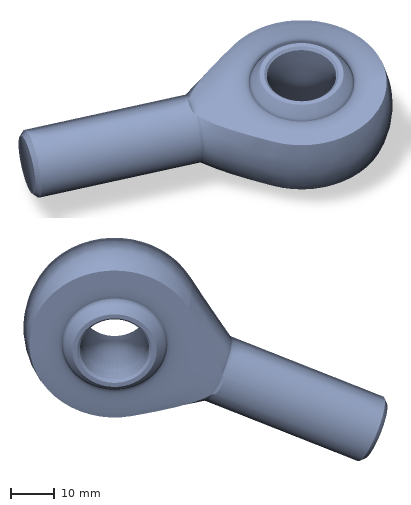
import cadquery as cq
import math


head_radius = 21.0
head_width = 15.0
shank_radius = 8.0
shank_start = 26.0
shank_end = 66.0
shank_chamfer = 1.1
flat_runout_radius = 1.0
race_radius = 16.85
ball_diameter = 28.575
ball_width = 21.0
bore_radius = 8.0
bore_chamfer = 0.6

half_head = head_width / 2
half_ball = ball_width / 2
ball_radius = ball_diameter / 2
ball_face_radius = math.sqrt(ball_radius**2 - half_ball**2)

rim_distance = math.hypot(shank_radius, shank_start)
tangent_angle = math.atan2(shank_radius, shank_start) + math.acos(head_radius / rim_distance)
tangent_x = head_radius * math.sin(tangent_angle)
tangent_y = -head_radius * math.cos(tangent_angle)


def make_blank():
    """Sphere, tangent neck and chamfered shank, turned about the Y axis."""
    return (
        cq.Workplane("XY")
        .moveTo(0, head_radius)
        .threePointArc((head_radius, 0), (tangent_x, tangent_y))
        .lineTo(shank_radius, -shank_start)
        .lineTo(shank_radius, -shank_end + shank_chamfer)
        .lineTo(shank_radius - shank_chamfer, -shank_end)
        .lineTo(0, -shank_end)
        .close()
        .revolve(360, (0, 0, 0), (0, 1, 0))
    )


def make_flat_cutter():
    """Material above the upper flat, ending in a concave arc that rises to the crest of the shank."""
    step_height = shank_radius - half_head
    runout_angle = math.acos(1 - step_height / flat_runout_radius)
    runout_end = -shank_start - flat_runout_radius * math.sin(runout_angle)
    arc_middle = (
        -shank_start - flat_runout_radius * math.sin(runout_angle / 2),
        half_head + flat_runout_radius * (1 - math.cos(runout_angle / 2)),
    )
    return (
        cq.Workplane("YZ")
        .moveTo(head_radius, half_head)
        .lineTo(-shank_start, half_head)
        .threePointArc(arc_middle, (runout_end, shank_radius))
        .lineTo(runout_end, head_radius)
        .lineTo(head_radius, head_radius)
        .close()
        .extrude(head_radius, both=True)
    )


def make_housing():
    """Eye with flat faces, race seat and shank."""
    upper_cutter = make_flat_cutter()
    lower_cutter = upper_cutter.mirror("XY")
    race_seat = cq.Workplane("XY").circle(race_radius).extrude(half_head, both=True)
    return make_blank().cut(upper_cutter).cut(lower_cutter).cut(race_seat)


def make_race():
    """Ring that fills the seat, with a spherical inside that fits the ball."""
    ring = cq.Workplane("XY").circle(race_radius).extrude(half_head, both=True)
    return ring.cut(cq.Workplane("XY").sphere(ball_radius))


def make_ball():
    """Truncated ball with a chamfered through bore, turned about the Z axis."""
    return (
        cq.Workplane("XZ")
        .moveTo(bore_radius, -half_ball + bore_chamfer)
        .lineTo(bore_radius + bore_chamfer, -half_ball)
        .lineTo(ball_face_radius, -half_ball)
        .threePointArc((ball_radius, 0), (ball_face_radius, half_ball))
        .lineTo(bore_radius + bore_chamfer, half_ball)
        .lineTo(bore_radius, half_ball - bore_chamfer)
        .close()
        .revolve(360, (0, 0, 0), (0, 1, 0))
    )


housing = make_housing()
race = make_race()
ball = make_ball()

result = cq.Compound.makeCompound([body.solids().val() for body in (housing, race, ball)])